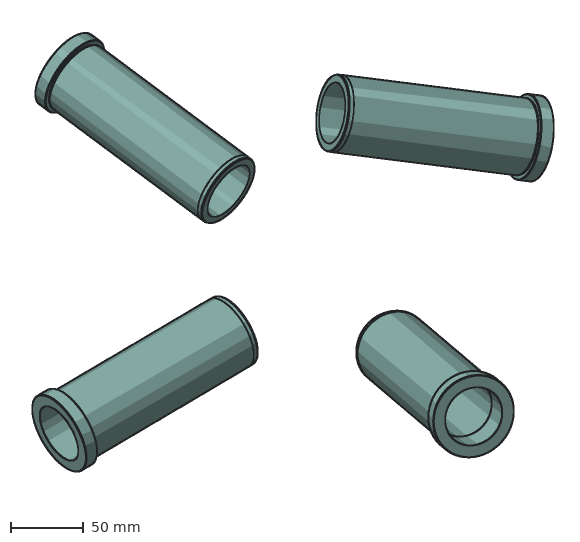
import cadquery as cq

length = 155.0
flange_diameter = 60.0
flange_thickness = 10.0
flange_chamfer = 0.5
body_diameter = 54.0
undercut_diameter = 53.0
undercut_width = 1.0
lead_diameter = 53.8
lead_length = 4.0
end_chamfer_length = 1.0
end_chamfer_depth = 0.5
bore_diameter = 42.0
bore_chamfer = 0.23
bore_land_length = 20.0
relief_diameter = 42.5


def cylinder(diameter, start, end):
    """Solid cylinder on the X axis between two axial positions."""
    return cq.Workplane("YZ").workplane(offset=start).circle(diameter / 2).extrude(end - start)


flange = cylinder(flange_diameter, 0, flange_thickness).edges().chamfer(flange_chamfer)

undercut_end = flange_thickness + undercut_width
undercut = cylinder(undercut_diameter, flange_thickness, undercut_end)

lead_start = length - lead_length
body = cylinder(body_diameter, undercut_end, lead_start)
lead = cylinder(lead_diameter, lead_start, length)
lead = lead.faces(">X").chamfer(end_chamfer_length, end_chamfer_depth)

bore_land = cylinder(bore_diameter, 0, bore_land_length)
bore_relief = cylinder(relief_diameter, bore_land_length, length)

outside = flange.union(undercut).union(body).union(lead)
bored = outside.cut(bore_land).cut(bore_relief)

mouth_rim = cq.selectors.RadiusNthSelector(0)
result = bored.faces("<X").edges(mouth_rim).chamfer(bore_chamfer)